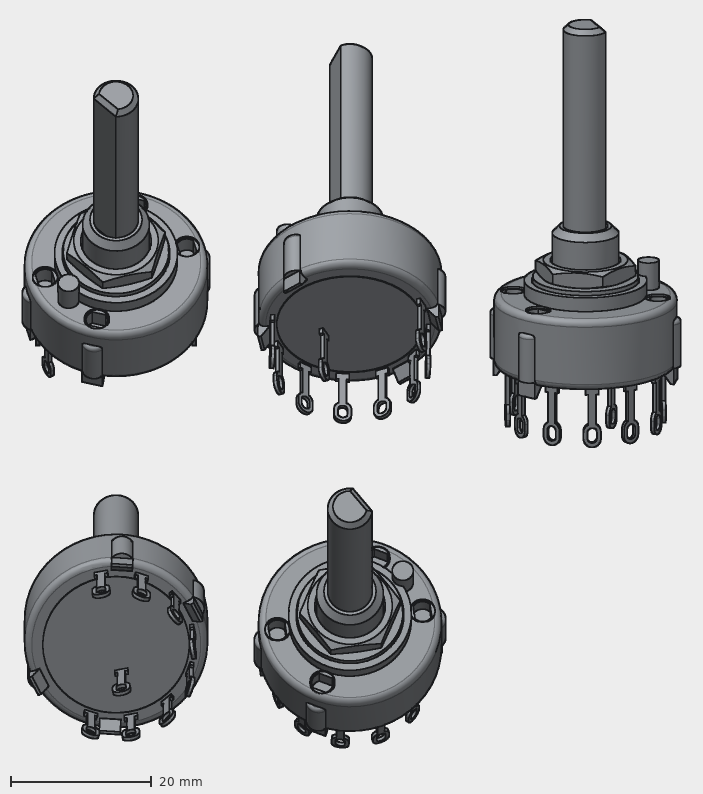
import cadquery as cq
import math


overall_height = 59.3

housing_diameter = 26.0
housing_height = 10.5
housing_fillet = 1.0
base_disc_diameter = 20.8
base_disc_depth = 0.12

collar_diameter = 17.45
collar_top = 12.55
recess_diameter = 15.3
recess_depth = 0.5

bushing_diameter = 9.5
bushing_top = 20.6
bushing_chamfer = 1.05

shaft_diameter = 6.35
shaft_top = 50.45
shaft_chamfer = 0.75
shaft_flat_offset = 2.25
shaft_flat_depth = 1.5
shaft_flat_bottom = bushing_top - shaft_flat_depth

peg_diameter = 3.0
peg_radius = 9.5
peg_top = 14.55

clip_angles = [60, 120, 240, 300]
post_diameter = 3.55
post_radius = 11.95
post_bottom = 0.55
post_top = 7.6
post_fillet = 0.55
tab_width = 3.0
tab_bottom = -1.8
tab_outer_radius = housing_diameter / 2
tab_tip_radius = tab_outer_radius - 0.45
tab_inner_radius = 11.35
pocket_diameter = 3.55
pocket_radius = 10.4
pocket_depth = 0.3
slot_length = 3.1
slot_width = 2.4
slot_depth = 3.0

terminal_spacing = 30
terminal_count = 8
first_terminal_angle = 45
terminal_radius = 11.1
common_angle = 225
common_radius = 4.06
terminal_thickness = 0.55
terminal_bottom = shaft_top - overall_height
stem_width = 1.1
shoulder_width = 1.9
shoulder_bottom = -1.05
eye_width = 2.5
eye_height = 3.5
eye_hole_width = 1.35
eye_hole_height = 2.2

washer_diameter = 15.0
washer_top = 13.1
nut_top = 15.55
nut_across_flats = 12.5
nut_face_diameter = 12.0
nut_chamfer_height = 0.5
nut_bore_diameter = 10.0


def cylinder(diameter, bottom, top):
    return cq.Workplane("XY").workplane(offset=bottom).circle(diameter / 2).extrude(top - bottom)


def place(shape, radius, angle):
    """Move a shape out along +X and turn it about the Z axis."""
    return shape.translate((radius, 0, 0)).rotate((0, 0, 0), (0, 0, 1), angle)


def make_case():
    case = cylinder(housing_diameter, 0, housing_height).edges().fillet(housing_fillet)
    case = case.union(cylinder(base_disc_diameter, -base_disc_depth, housing_fillet))
    case = case.union(cylinder(collar_diameter, housing_height - housing_fillet, collar_top))
    case = case.cut(cylinder(recess_diameter, collar_top - recess_depth, collar_top))
    peg = cylinder(peg_diameter, housing_height - housing_fillet, peg_top)
    return case.union(peg.translate((0, -peg_radius, 0)))


def make_bushing_and_shaft():
    bushing = cylinder(bushing_diameter, housing_height, bushing_top)
    bushing = bushing.faces(">Z").chamfer(bushing_chamfer)
    shaft = cylinder(shaft_diameter, housing_height, shaft_top)
    flat_height = shaft_top - shaft_flat_bottom
    flat = cq.Workplane("XY").box(shaft_diameter, shaft_diameter, flat_height, centered=(True, False, False))
    flat = flat.translate((0, -shaft_flat_offset - shaft_diameter, shaft_flat_bottom))
    shaft = shaft.cut(flat).faces(">Z").chamfer(shaft_chamfer)
    shaft_hole = cylinder(shaft_diameter, shaft_flat_bottom, bushing_top)
    return bushing.cut(shaft_hole).union(shaft)


def make_clip():
    """Round post and the tab below it, for a clip on the +X side."""
    post = cylinder(post_diameter, post_bottom, post_top).faces(">Z").edges().fillet(post_fillet)
    tab = (
        cq.Workplane("XZ")
        .moveTo(tab_outer_radius, post_bottom)
        .lineTo(tab_outer_radius, tab_bottom)
        .lineTo(tab_tip_radius, tab_bottom)
        .lineTo(tab_inner_radius, -base_disc_depth)
        .lineTo(tab_inner_radius, post_bottom)
        .close()
        .extrude(tab_width / 2, both=True)
    )
    return post.translate((post_radius, 0, 0)).union(tab)


def make_pocket():
    """Cutter for a shallow round pocket with a deep flat-sided slot in its floor."""
    pocket = cylinder(pocket_diameter, housing_height - pocket_depth, housing_height)
    slot = cylinder(slot_length, housing_height - slot_depth, housing_height)
    sides = cq.Workplane("XY").box(slot_width, slot_length, 2 * housing_height)
    return pocket.union(slot.intersect(sides))


def make_terminal():
    """Flat solder terminal with a rounded eye, facing +X."""
    eye_z = terminal_bottom + eye_height / 2

    def strip(width, bottom):
        height = housing_fillet - bottom
        return cq.Workplane("XY").box(terminal_thickness, width, height).translate((0, 0, bottom + height / 2))

    def slot(width, height):
        outline = cq.Workplane("YZ").center(0, eye_z).slot2D(height, width, 90)
        return outline.extrude(terminal_thickness / 2, both=True)

    terminal = strip(shoulder_width, shoulder_bottom).union(strip(stem_width, eye_z))
    return terminal.union(slot(eye_width, eye_height)).cut(slot(eye_hole_width, eye_hole_height))


def make_switch():
    switch = make_case().union(make_bushing_and_shaft())
    clip = make_clip()
    pocket = make_pocket()
    for angle in clip_angles:
        switch = switch.union(place(clip, 0, angle))
        switch = switch.cut(place(pocket, pocket_radius, angle))
    terminal = make_terminal()
    for index in range(terminal_count):
        angle = first_terminal_angle + index * terminal_spacing
        switch = switch.union(place(terminal, terminal_radius, angle))
    return switch.union(place(terminal, common_radius, common_angle))


def make_nut():
    """Hexagon nut, coned at both ends, with the washer it bears on."""
    across_corners = nut_across_flats / math.cos(math.pi / 6)
    height = nut_top - washer_top
    hexagon = cq.Workplane("XY").workplane(offset=washer_top).polygon(6, across_corners).extrude(height)
    cones = (
        cq.Workplane("XZ")
        .moveTo(0, washer_top)
        .lineTo(nut_face_diameter / 2, washer_top)
        .lineTo(across_corners / 2, washer_top + nut_chamfer_height)
        .lineTo(across_corners / 2, nut_top - nut_chamfer_height)
        .lineTo(nut_face_diameter / 2, nut_top)
        .lineTo(0, nut_top)
        .close()
        .revolve(360, (0, 0, 0), (0, 1, 0))
    )
    recess_floor = collar_top - recess_depth
    nut = hexagon.intersect(cones).union(cylinder(washer_diameter, recess_floor, washer_top))
    return nut.cut(cylinder(nut_bore_diameter, recess_floor, nut_top))


switch = make_switch()
nut = make_nut()
result = cq.Compound.makeCompound([switch.val(), nut.val()])